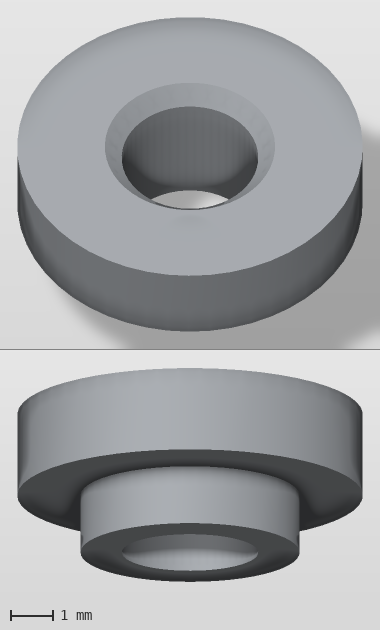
import cadquery as cq

flange_diameter = 8.2
flange_thickness = 2.0
spigot_diameter = 5.2
spigot_length = 1.4
bore_diameter = 3.24
bore_chamfer = 0.4

total_height = spigot_length + flange_thickness


def make_body():
    """Narrow spigot standing on Z = 0 with the wide flange on top of it."""
    spigot = cq.Workplane("XY").circle(spigot_diameter / 2).extrude(spigot_length)
    flange = (
        cq.Workplane("XY")
        .workplane(offset=spigot_length)
        .circle(flange_diameter / 2)
        .extrude(flange_thickness)
    )
    return spigot.union(flange)


def make_bore():
    """Through bore with a 45 degree lead-in cone at the flange face."""
    bore_radius = bore_diameter / 2
    mouth_radius = bore_radius + bore_chamfer
    half_section = [
        (0, 0),
        (bore_radius, 0),
        (bore_radius, total_height - bore_chamfer),
        (mouth_radius, total_height),
        (0, total_height),
    ]
    return cq.Workplane("XZ").polyline(half_section).close().revolve(360, (0, 0), (0, 1))


result = make_body().cut(make_bore())